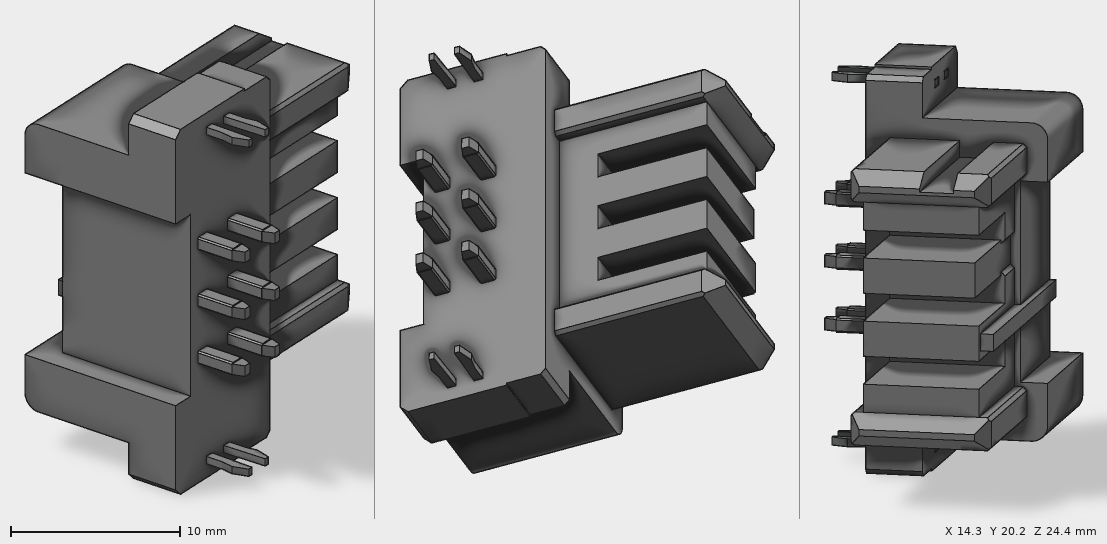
import cadquery as cq


WIDTH = 24.37
REACH_X = 14.3
REACH_Y = 20.2

HOUSING_X = 11.05
HOUSING_Y = 9.43
CORE_X = 1.65
CORE_Y = 1.5
CORE_HALF_Z = 6.07
SHOULDER_HALF_Z = 9.6
SHOULDER_RADIUS = 1.0

EAR_X = 7.6
EAR_CHAMFER = 0.49
EAR_STEP_Y = 6.9
EAR_STEP_Z = 0.15
EAR_STEP_CHAMFER = 0.32

RAIL_X_MIN = 1.27
RAIL_X_MAX = 9.77
RAIL_Z_INNER = 6.34
RAIL_Z_OUTER = 8.33
RAIL_CHAMFER = 0.22
PLUG_Y = 18.98
TAPER_X = 0.75
TAPER_Z = 0.8
KEYWAY_X = 3.3
KEYWAY_WIDTH = 2.05
KEYWAY_DEPTH = 1.0

PLATE_INSET = 0.75
SLOT_WIDTH = 1.68
SLOT_END_Y = 11.92
PITCH = 3.8
RECESS_DEPTH = 0.25
RECESS_HALF_Z = 1.1

RIB_X = 1.25
RIB_Y_START = 1.65
RIB_Y_END = 18.55
RIB_WIDTH = 1.02

ROW_CENTER_Y = 4.22
PIN_ROW_OFFSET = 1.49
PIN_WIDTH_Y = 1.02
PIN_WIDTH_Z = 0.85
PIN_CHAMFER = 0.1
PIN_TAPER_X = 13.55
PIN_TIP_START_Y = 1.0
PIN_TIP_END_Y = 0.46
PIN_TIP_Z = 0.7

CLIP_Z = 11.0
CLIP_THICKNESS = 0.49
CLIP_INNER_ROOT = 0.58
CLIP_INNER = 0.65
CLIP_OUTER = 1.15
CLIP_BUMP = 1.3
CLIP_TIP = 0.97
CLIP_BUMP_START_X = 12.18
CLIP_BUMP_PEAK_X = 13.01
CLIP_END_X = 14.04
CLIP_SEAT_WIDTH = 1.12
CLIP_SEAT_OFFSET = 1.3
CLIP_SEAT_DEPTH = 0.05

SIDES = (-1, 1)
COLUMNS = (-1, 0, 1)


def block(x_span, y_span, z_span):
    """Box between two limits on each axis."""
    size = [max(span) - min(span) for span in (x_span, y_span, z_span)]
    corner = [min(span) for span in (x_span, y_span, z_span)]
    return cq.Workplane("XY").box(*size, centered=False).translate(tuple(corner))


def slab(outline, z_center, thickness):
    """XY outline extruded symmetrically about a height."""
    plane = cq.Workplane("XY").workplane(offset=z_center)
    return plane.polyline(outline).close().extrude(thickness / 2, both=True)


def make_shoulder():
    """Upper shoulder of the housing, rounded at its outer edge."""
    shoulder = block((0, HOUSING_X), (0, HOUSING_Y), (CORE_HALF_Z, SHOULDER_HALF_Z))
    return shoulder.edges("<X and >Z").fillet(SHOULDER_RADIUS)


def make_ear():
    """Upper mounting ear with a chamfered front and a stepped rear corner."""
    top = WIDTH / 2
    step = top - EAR_STEP_Z
    outline = [
        (0, CORE_HALF_Z),
        (0, top - EAR_CHAMFER),
        (EAR_CHAMFER, top),
        (EAR_STEP_Y, top),
        (EAR_STEP_Y, step),
        (HOUSING_Y - EAR_STEP_CHAMFER, step),
        (HOUSING_Y, step - EAR_STEP_CHAMFER),
        (HOUSING_Y, CORE_HALF_Z),
    ]
    plane = cq.Workplane("YZ").workplane(offset=EAR_X)
    ear = plane.polyline(outline).close().extrude(HOUSING_X - EAR_X)
    for side in SIDES:
        center_y = ROW_CENTER_Y + side * CLIP_SEAT_OFFSET
        ear = ear.cut(block(
            (EAR_X, EAR_X + CLIP_SEAT_DEPTH),
            (center_y - CLIP_SEAT_WIDTH / 2, center_y + CLIP_SEAT_WIDTH / 2),
            (CLIP_Z - CLIP_THICKNESS / 2, CLIP_Z + CLIP_THICKNESS / 2),
        ))
    return ear


def make_rail():
    """Upper guide rail: chamfered bar whose free end tapers on all four sides."""
    rail = block((RAIL_X_MIN, RAIL_X_MAX), (HOUSING_Y, REACH_Y), (RAIL_Z_INNER, RAIL_Z_OUTER))
    rail = rail.edges("|Y").chamfer(RAIL_CHAMFER)
    taper_in_x = [
        (RAIL_X_MIN, HOUSING_Y),
        (RAIL_X_MIN, PLUG_Y),
        (RAIL_X_MIN + TAPER_X, REACH_Y),
        (RAIL_X_MAX - TAPER_X, REACH_Y),
        (RAIL_X_MAX, PLUG_Y),
        (RAIL_X_MAX, HOUSING_Y),
    ]
    taper_in_z = [
        (HOUSING_Y, RAIL_Z_INNER),
        (PLUG_Y, RAIL_Z_INNER),
        (REACH_Y, RAIL_Z_INNER + TAPER_Z),
        (REACH_Y, RAIL_Z_OUTER - TAPER_Z),
        (PLUG_Y, RAIL_Z_OUTER),
        (HOUSING_Y, RAIL_Z_OUTER),
    ]
    rail = rail.intersect(cq.Workplane("XY").polyline(taper_in_x).close().extrude(WIDTH))
    return rail.intersect(cq.Workplane("YZ").polyline(taper_in_z).close().extrude(REACH_X))


def make_plate():
    """Plate between the rails, slotted into teeth, the middle tooth set back."""
    face = RAIL_X_MIN + PLATE_INSET
    back = RAIL_X_MAX - PLATE_INSET
    floor = face + RECESS_DEPTH
    plate_half_z = RAIL_Z_INNER + RAIL_CHAMFER
    plate = block((face, back), (HOUSING_Y, PLUG_Y), (-plate_half_z, plate_half_z))

    recess_z = PITCH / 2
    recess = [
        (face, recess_z - RECESS_HALF_Z),
        (floor, recess_z - RECESS_HALF_Z + RECESS_DEPTH),
        (floor, recess_z + RECESS_HALF_Z - RECESS_DEPTH),
        (face, recess_z + RECESS_HALF_Z),
    ]
    plane = cq.Workplane("XZ").workplane(offset=-HOUSING_Y)
    plate = plate.cut(plane.polyline(recess).close().extrude(HOUSING_Y - SLOT_END_Y))
    plate = plate.cut(block((face, floor), (SLOT_END_Y, PLUG_Y), (0, PITCH)))

    for column in COLUMNS:
        center_z = column * PITCH
        plate = plate.cut(block(
            (face, back),
            (SLOT_END_Y, PLUG_Y),
            (center_z - SLOT_WIDTH / 2, center_z + SLOT_WIDTH / 2),
        ))
    return plate


def make_rib():
    """Rib along the outer face, centred on the tooth below the middle slot."""
    center_z = -PITCH / 2
    return block(
        (RIB_X, RAIL_X_MIN + PLATE_INSET),
        (RIB_Y_START, RIB_Y_END),
        (center_z - RIB_WIDTH / 2, center_z + RIB_WIDTH / 2),
    )


def make_pin(center_y, center_z):
    """Chamfered solder tail with a thinner tapered tip."""
    shaft = block(
        (HOUSING_X, PIN_TAPER_X),
        (center_y - PIN_WIDTH_Y / 2, center_y + PIN_WIDTH_Y / 2),
        (center_z - PIN_WIDTH_Z / 2, center_z + PIN_WIDTH_Z / 2),
    ).edges("|X").chamfer(PIN_CHAMFER)
    tip_outline = [
        (PIN_TAPER_X, center_y - PIN_TIP_START_Y / 2),
        (REACH_X, center_y - PIN_TIP_END_Y / 2),
        (REACH_X, center_y + PIN_TIP_END_Y / 2),
        (PIN_TAPER_X, center_y + PIN_TIP_START_Y / 2),
    ]
    return shaft.union(slab(tip_outline, center_z, PIN_TIP_Z))


def make_clip_leg(side):
    """Upper hold-down leg with a bump on the edge facing away from its partner."""
    profile = [
        (HOUSING_X, CLIP_INNER_ROOT),
        (CLIP_END_X, CLIP_INNER),
        (CLIP_END_X, CLIP_TIP),
        (CLIP_BUMP_PEAK_X, CLIP_BUMP),
        (CLIP_BUMP_START_X, CLIP_OUTER),
        (HOUSING_X, CLIP_OUTER),
    ]
    outline = [(x, ROW_CENTER_Y + side * offset) for x, offset in profile]
    return slab(outline, CLIP_Z, CLIP_THICKNESS)


result = block((CORE_X, HOUSING_X), (CORE_Y, HOUSING_Y), (-CORE_HALF_Z, CORE_HALF_Z))
result = result.union(make_plate()).union(make_rib())

for feature in (make_shoulder(), make_ear(), make_rail(), make_clip_leg(-1), make_clip_leg(1)):
    result = result.union(feature).union(feature.mirror("XY"))

result = result.cut(block(
    (KEYWAY_X, KEYWAY_X + KEYWAY_WIDTH),
    (HOUSING_Y, REACH_Y),
    (RAIL_Z_OUTER - KEYWAY_DEPTH, RAIL_Z_OUTER),
))

for row in SIDES:
    for column in COLUMNS:
        result = result.union(make_pin(ROW_CENTER_Y + row * PIN_ROW_OFFSET, column * PITCH))